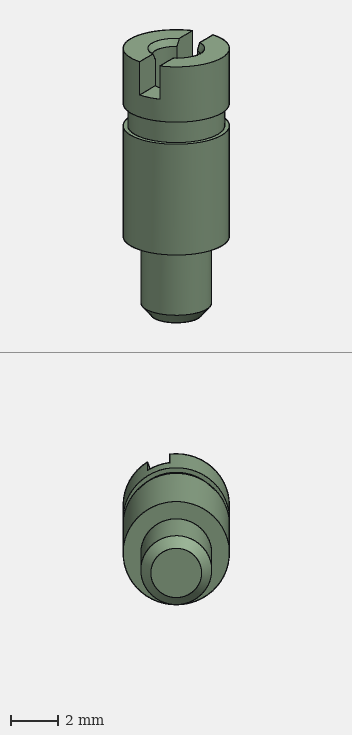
import cadquery as cq
import math

total_length = 12.0
head_length = 2.5
groove_width = 1.0
pin_length = 3.5
tip_length = 0.5

body_diameter = 4.5
groove_diameter = 4.1
pin_diameter = 3.0
tip_diameter = 2.15

slot_width = 1.0
slot_depth = 1.5

hole_diameter = 2.05
hole_mouth_diameter = 2.4
hole_mouth_depth = 0.3
hole_depth = 6.0
drill_point_angle = 118.0

groove_top = total_length - head_length
groove_bottom = groove_top - groove_width


def turned_body():
    """Stepped shaft with a neck groove and a tapered tip."""
    profile = [
        (0, 0),
        (tip_diameter / 2, 0),
        (pin_diameter / 2, tip_length),
        (pin_diameter / 2, pin_length),
        (body_diameter / 2, pin_length),
        (body_diameter / 2, groove_bottom),
        (groove_diameter / 2, groove_bottom),
        (groove_diameter / 2, groove_top),
        (body_diameter / 2, groove_top),
        (body_diameter / 2, total_length),
        (0, total_length),
    ]
    return cq.Workplane("XZ").polyline(profile).close().revolve(360, (0, 0), (0, 1))


def drilled_hole():
    """Blind hole with a tapered mouth and a conical bottom."""
    hole_radius = hole_diameter / 2
    mouth_radius = hole_mouth_diameter / 2
    shoulder = total_length - hole_depth
    point_height = hole_radius / math.tan(math.radians(drill_point_angle / 2))
    profile = [
        (0, shoulder - point_height),
        (hole_radius, shoulder),
        (hole_radius, total_length - hole_mouth_depth),
        (mouth_radius, total_length),
        (0, total_length),
    ]
    return cq.Workplane("XZ").polyline(profile).close().revolve(360, (0, 0), (0, 1))


def driver_slot():
    """Straight slot through the full width of the head."""
    return (
        cq.Workplane("XY")
        .workplane(offset=total_length - slot_depth)
        .rect(slot_width, body_diameter * 2)
        .extrude(slot_depth)
    )


result = turned_body().cut(drilled_hole()).cut(driver_slot())